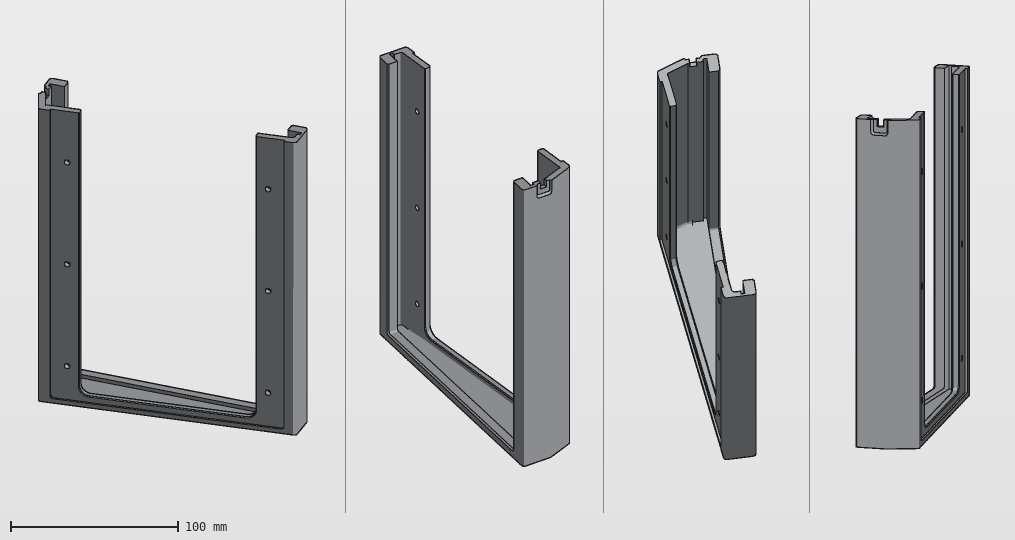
import cadquery as cq
import math

height = 201.0
back_tilt = math.radians(6.5)
crease_y = 19.0
left_side_length = 19.3
back_width = 166.0
toe_inset = 5.0
edge_radius = 2.0

front_thickness = 5.8
left_wall = 4.2
right_wall = 3.5
back_thickness = 6.8
floor_z = 3.0
front_rail_z = 7.2
back_rail_z = 5.5
floor_fillet = 2.0
fillet_past_crease = 2.6
taper_start_x = 141.3
taper_end_x = 156.2
taper_end_radius = 0.1
right_corner_radius = 2.0

groove_width = 2.2
groove_depth = 1.8

left_lip = 11.9
right_lip = 10.5
back_corner_radius = 1.5
rail_chamfer = 1.0

front_center_x = 84.8
opening_width = 109.3
opening_radius = 6.2
opening_chamfer = 0.6
rim_margin = 0.2
recess_width = 145.0
recess_depth = 1.5
recess_z = 3.0
recess_radius = 2.0
hole_diameter = 3.5
hole_spacing_x = 124.6
lowest_hole_z = 26.0
hole_pitch_z = 70.0
hole_rows = 3

notch_center = 15.3
notch_width = 4.2
notch_depth = 4.5
notch_recess_width = 8.5
notch_recess_depth = 8.0
notch_recess_radius = 0.8
notch_recess_flare = 1.5

cos_tilt = math.cos(back_tilt)
sin_tilt = math.sin(back_tilt)
back_corner_x = left_side_length * sin_tilt
back_corner_y = crease_y + left_side_length * cos_tilt


def tilted(along, depth):
    """XY point from the back-left corner: along the back face, then inward from it."""
    return (
        back_corner_x + along * cos_tilt - depth * sin_tilt,
        back_corner_y - along * sin_tilt - depth * cos_tilt,
    )


def side_at_y(along, y):
    """XY point at the given Y on the line square to the back, this far along the back."""
    depth = (back_corner_y - along * sin_tilt - y) / cos_tilt
    return tilted(along, depth)


def prism(points, z_low, z_high):
    """Upright block with the given XY outline."""
    return cq.Workplane("XY").workplane(offset=z_low).polyline(points).close().extrude(z_high - z_low)


def nearest(xy, z):
    """Selector for the edge closest to a point."""
    return cq.selectors.NearestToPointSelector((*xy, z))


def u_cutter(width, depth, radius):
    """Block behind Y = 0 with rounded lower corners, as tall as the frame so it runs out at the top."""
    block = cq.Workplane("XY").box(width, depth, height, centered=(True, False, False))
    return block.edges("|Y and <Z").fillet(radius)


def corner_strip(start, end, start_radius, end_radius):
    """Concave rounding on the floor along a wall; the floor side lies left of start to end."""
    along = cq.Vector(end[0] - start[0], end[1] - start[1], 0)
    inward = cq.Vector(-along.y, along.x, 0)
    plane = cq.Plane(origin=(*start, floor_z), xDir=inward, normal=along)

    def section(offset, radius):
        arc_middle = radius * (1 - math.sqrt(0.5))
        return (
            cq.Workplane(plane)
            .workplane(offset=offset)
            .lineTo(0, radius)
            .threePointArc((arc_middle, arc_middle), (radius, 0))
            .close()
            .wires()
            .val()
        )

    sections = [section(0, start_radius), section(along.Length, end_radius)]
    return cq.Workplane(cq.Solid.makeLoft(sections, True))


outline = [
    (toe_inset, 0),
    side_at_y(back_width, 0),
    tilted(back_width, 0),
    tilted(0, 0),
    (0, crease_y),
]
body = prism(outline, 0, height)
for corner in outline:
    body = body.edges(nearest(corner, height / 2)).fillet(edge_radius)

lower_angle = math.atan2(toe_inset, crease_y)
inner_crease_depth = left_side_length - left_wall * math.tan((back_tilt + lower_angle) / 2)
inner_crease = tilted(left_wall, inner_crease_depth)
inner_toe_x = inner_crease[0] + (inner_crease[1] - front_thickness) * math.tan(lower_angle)
inner_toe = (inner_toe_x, front_thickness)
inner_right_toe = side_at_y(back_width - right_wall, front_thickness)
cavity = prism(
    [
        inner_toe,
        inner_right_toe,
        tilted(back_width - right_wall, back_thickness),
        tilted(left_wall, back_thickness),
        inner_crease,
    ],
    floor_z,
    height,
)
cavity = cavity.edges(nearest(inner_right_toe, height / 2)).fillet(right_corner_radius)
body = body.cut(cavity)

taper_start = (taper_start_x, front_thickness)
taper_end = (taper_end_x, front_thickness)
fillet_top = tilted(left_wall, inner_crease_depth - fillet_past_crease)
body = body.union(corner_strip(fillet_top, inner_crease, floor_fillet, floor_fillet))
body = body.union(corner_strip(inner_crease, inner_toe, floor_fillet, floor_fillet))
body = body.union(corner_strip(inner_toe, taper_start, floor_fillet, floor_fillet))
body = body.union(corner_strip(taper_start, taper_end, floor_fillet, taper_end_radius))

groove_left = left_wall - groove_depth
groove_right = back_width - right_wall + groove_depth
groove_front = back_thickness + groove_width
groove = prism(
    [
        tilted(groove_left, back_thickness),
        tilted(groove_right, back_thickness),
        tilted(groove_right, groove_front),
        tilted(groove_left, groove_front),
    ],
    floor_z,
    height,
)
body = body.cut(groove)

back_opening_width = back_width - left_lip - right_lip
back_opening = (
    u_cutter(back_opening_width, back_thickness, back_corner_radius)
    .translate((left_lip + back_opening_width / 2, -back_thickness, back_rail_z))
    .rotate((0, 0, 0), (0, 0, 1), -math.degrees(back_tilt))
    .translate((back_corner_x, back_corner_y, 0))
)
body = body.cut(back_opening)
body = body.edges(nearest(tilted(back_width / 2, 0), back_rail_z)).chamfer(rail_chamfer)

front_recess = u_cutter(recess_width, recess_depth, recess_radius)
body = body.cut(front_recess.translate((front_center_x, 0, recess_z)))

front_opening = u_cutter(opening_width, front_thickness, opening_radius)
body = body.cut(front_opening.translate((front_center_x, 0, front_rail_z)))
rim_left = front_center_x - opening_width / 2
rim_right = front_center_x + opening_width / 2
for rim_y in (recess_depth, front_thickness):
    rim = cq.selectors.BoxSelector(
        (rim_left - rim_margin, rim_y - rim_margin, front_rail_z - rim_margin),
        (rim_right + rim_margin, rim_y + rim_margin, height - rim_margin),
    )
    body = body.edges(rim).chamfer(opening_chamfer)

for side in (-1, 1):
    for row in range(hole_rows):
        hole = (
            cq.Workplane("XZ")
            .center(front_center_x + side * hole_spacing_x / 2, lowest_hole_z + row * hole_pitch_z)
            .circle(hole_diameter / 2)
            .extrude(-front_thickness)
        )
        body = body.cut(hole)

side_plane = cq.Plane(
    origin=(back_corner_x, back_corner_y, height),
    xDir=(-sin_tilt, -cos_tilt, 0),
    normal=(-cos_tilt, sin_tilt, 0),
)
slot = (
    cq.Workplane(side_plane)
    .center(notch_center, 0)
    .rect(notch_width, 2 * notch_depth)
    .extrude(-2 * left_wall)
)
notch_recess = (
    cq.Workplane(side_plane)
    .workplane(offset=-notch_recess_flare)
    .center(notch_center, 0)
    .sketch()
    .rect(notch_recess_width, 2 * notch_recess_depth)
    .vertices()
    .fillet(notch_recess_radius)
    .finalize()
    .extrude(notch_recess_flare, taper=-45)
)
body = body.cut(slot).cut(notch_recess)

result = body